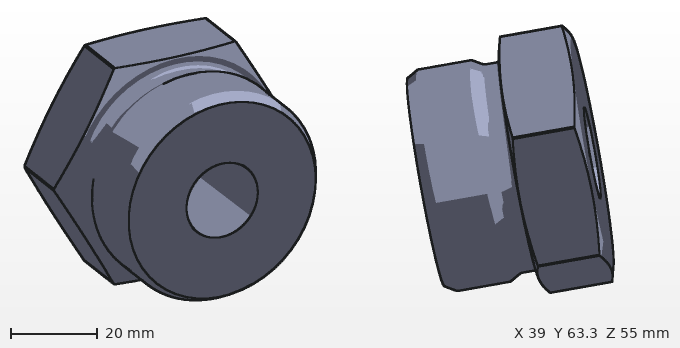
import cadquery as cq
import math


total_length = 39.0

head_length = 17.0
across_flats = 55.0
corner_diameter = 63.3
head_face_diameter = 54.0
head_bevel_angle = 15.0

shank_diameter = 52.0
groove_diameter = 48.9
groove_length = 4.15
flank_angle = 30.0
groove_radius = 1.2
crest_radius = 0.8

bore_diameter = 18.64
mouth_diameter = 21.3
mouth_bevel_angle = 45.0


def tan_degrees(angle):
    return math.tan(math.radians(angle))


def revolve_about_x(profile):
    return profile.close().revolve(360, (0, 0, 0), (1, 0, 0))


def make_head():
    """Hexagon prism with flats facing +Z and -Z, bevelled on both faces."""
    across_corners = across_flats / math.cos(math.radians(30))
    prism = cq.Workplane("YZ").polygon(6, across_corners).extrude(head_length)

    face_radius = head_face_diameter / 2
    corner_radius = corner_diameter / 2
    bevel_length = (corner_radius - face_radius) * tan_degrees(head_bevel_angle)
    envelope = revolve_about_x(
        cq.Workplane("XY")
        .lineTo(0, face_radius)
        .lineTo(bevel_length, corner_radius)
        .lineTo(head_length - bevel_length, corner_radius)
        .lineTo(head_length, face_radius)
        .lineTo(head_length, 0)
    )
    return prism.intersect(envelope)


def make_shank():
    """Groove, sloped flank, cylinder and tapered end, starting at the head."""
    groove_r = groove_diameter / 2
    shank_r = shank_diameter / 2
    flank_length = (shank_r - groove_r) / tan_degrees(flank_angle)
    groove_end = head_length + groove_length
    crest_start = groove_end + flank_length
    crest_end = total_length - flank_length

    shank = revolve_about_x(
        cq.Workplane("XY")
        .moveTo(head_length, 0)
        .lineTo(head_length, groove_r)
        .lineTo(groove_end, groove_r)
        .lineTo(crest_start, shank_r)
        .lineTo(crest_end, shank_r)
        .lineTo(total_length, groove_r)
        .lineTo(total_length, 0)
    )

    def round_edge(body, x, radius):
        margin = 0.1
        width = 2 * shank_diameter
        slab = cq.selectors.BoxSelector(
            (x - margin, -width, -width), (x + margin, width, width), boundingbox=True
        )
        return body.edges("%CIRCLE").edges(slab).fillet(radius)

    shank = round_edge(shank, groove_end, groove_radius)
    shank = round_edge(shank, crest_start, crest_radius)
    return round_edge(shank, crest_end, crest_radius)


def make_groove_root():
    """Concave ring that blends the groove floor into the back of the head."""
    floor_r = groove_diameter / 2
    center_x = head_length + groove_radius
    center_r = floor_r + groove_radius
    mid_offset = groove_radius * math.sqrt(0.5)
    return revolve_about_x(
        cq.Workplane("XY")
        .moveTo(head_length, 0)
        .lineTo(head_length, center_r)
        .threePointArc((center_x - mid_offset, center_r - mid_offset), (center_x, floor_r))
        .lineTo(center_x, 0)
    )


def make_bore():
    bore_r = bore_diameter / 2
    mouth_r = mouth_diameter / 2
    mouth_depth = (mouth_r - bore_r) / tan_degrees(mouth_bevel_angle)
    return revolve_about_x(
        cq.Workplane("XY")
        .lineTo(0, mouth_r)
        .lineTo(mouth_depth, bore_r)
        .lineTo(total_length, bore_r)
        .lineTo(total_length, 0)
    )


result = make_head().union(make_shank()).union(make_groove_root()).cut(make_bore())